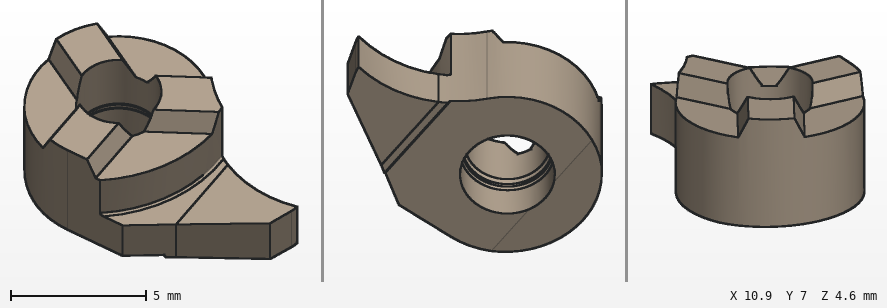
import cadquery as cq
import math

head_radius = 3.5
bore_radius = 1.58
head_top = 4.38
dog_floor = 3.58
heel_rise = 0.08
heel_start_x = -1.58

bore_steps = ((1.98, 0.17, 0.1), (1.65, 0.13, 0.08))

dog_angles = (30, 150, 270)
dog_top_half_width = 0.85
dog_foot_half_width = 1.23

arm_corner_x = 2.41
tip_end_x = 7.4
tip_heel = (7.0, -0.52)
nose_start = (7.34, 0.41)
flank_radius = 4.9
flank_center_x = 6.35

arm_top = 1.68
tip_joint_x = 4.05
joint_front_y = -2.39
tip_top = 1.78
tip_bottom = head_top - 4.6
step_start_x = 3.67
step_end_x = 3.75
step_bottom = -0.13

shoulder_radius = 5.67
shoulder_center = (-2.0, 1.02)
shoulder_fillet = 0.1

clearance = 1.09


def plan_outline():
    """Head and arm outline, extruded through the whole height."""
    center_distance = head_radius + flank_radius
    flank_center_y = math.sqrt(center_distance**2 - flank_center_x**2)
    tangent_scale = head_radius / center_distance
    tangent_point = (flank_center_x * tangent_scale, flank_center_y * tangent_scale)

    def flank_point(x):
        return (x, flank_center_y - math.sqrt(flank_radius**2 - (x - flank_center_x) ** 2))

    tip_point = flank_point(tip_end_x)
    return (
        cq.Workplane("XY", origin=(0, 0, tip_bottom))
        .moveTo(0, -head_radius)
        .lineTo(arm_corner_x, -head_radius)
        .lineTo(tip_joint_x, joint_front_y)
        .lineTo(*tip_heel)
        .lineTo(*nose_start)
        .tangentArcPoint(tip_point, relative=False)
        .threePointArc(flank_point(tip_joint_x), tangent_point)
        .threePointArc((-head_radius, 0), (0, -head_radius))
        .close()
        .extrude(head_top - tip_bottom)
    )


def side_profile(points):
    """XZ profile extruded across the full width of the part."""
    half_width = head_radius + clearance
    return cq.Workplane("XZ").polyline(points).close().extrude(half_width, both=True)


def arm_clearance():
    """Space above the arm, outside the curved shoulder."""
    space = (
        cq.Workplane("XY", origin=(0, 0, arm_top))
        .rect(4 * tip_end_x, 4 * tip_end_x)
        .extrude(head_top + clearance - arm_top)
    )
    core = (
        cq.Workplane("XY", origin=(*shoulder_center, arm_top))
        .circle(shoulder_radius)
        .extrude(head_top + 2 * clearance - arm_top)
    )
    space = space.cut(core).edges("<Z and %CIRCLE").fillet(shoulder_fillet)
    arm_side = (
        cq.Workplane("XY")
        .rect(2 * tip_end_x, 4 * tip_end_x)
        .extrude(head_top + clearance)
        .translate((tip_end_x, 0, 0))
    )
    return space.intersect(arm_side)


def dogs():
    """Three radial bars whose flanks spread towards the floor between them."""
    bars = cq.Workplane("XY")
    for angle in dog_angles:
        bar = (
            cq.Workplane("YZ")
            .polyline([
                (-dog_foot_half_width, dog_floor),
                (dog_foot_half_width, dog_floor),
                (dog_top_half_width, head_top),
                (-dog_top_half_width, head_top),
            ])
            .close()
            .extrude(tip_end_x)
            .rotate((0, 0, 0), (0, 0, 1), angle)
        )
        bars = bars.add(bar)
    return bars.combine()


def bore():
    """Through bore, turned from a profile that steps outward near the underside."""
    radius = bore_radius
    profile = [(0, head_top), (radius, head_top)]
    for step_top, cone_height, radius_gain in bore_steps:
        profile.append((radius, step_top))
        radius += radius_gain
        profile.append((radius, step_top - cone_height))
    profile += [(radius, 0), (0, 0)]
    return cq.Workplane("XZ").polyline(profile).close().revolve(360, (0, 0), (0, 1))


def make_holder():
    base = side_profile([
        (-head_radius, heel_rise),
        (heel_start_x, 0),
        (step_start_x, 0),
        (step_end_x, step_bottom),
        (tip_joint_x, step_bottom),
        (tip_joint_x, dog_floor),
        (-head_radius, dog_floor),
    ])
    return plan_outline().intersect(base.union(dogs())).cut(arm_clearance()).cut(bore())


def make_cutting_tip():
    wedge = side_profile([
        (tip_joint_x, step_bottom),
        (tip_end_x, tip_bottom),
        (tip_end_x, tip_top),
        (tip_joint_x, arm_top),
    ])
    return plan_outline().intersect(wedge)


holder = make_holder()
cutting_tip = make_cutting_tip()
result = cq.Compound.makeCompound([holder.val(), cutting_tip.val()])